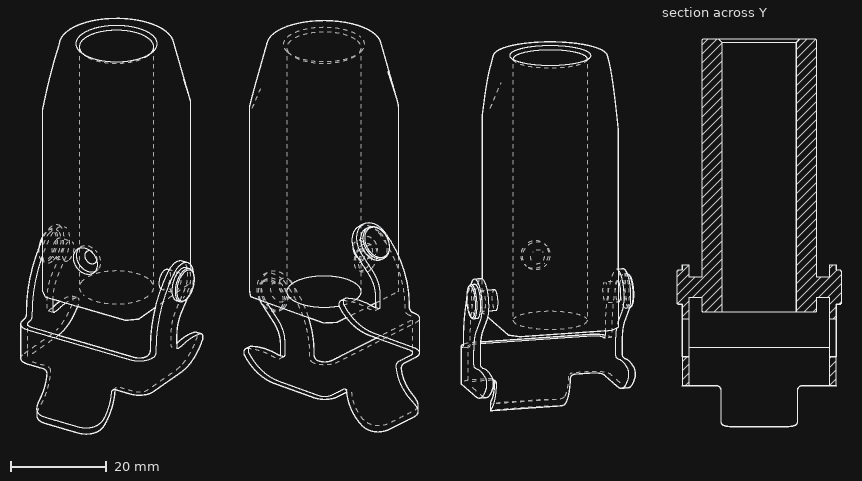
import cadquery as cq
import math

body_width = 24.0
body_height = 57.0
corner_chamfer = 2.0
edge_round = 0.25
bore_diameter = 15.5
bore_mouth_diameter = 16.9
bore_mouth_depth = 0.7
cone_angle = 14.3
cone_top_inset = 0.1
cone_top_radius = body_width / 2 - cone_top_inset

screw_diameter = 6.0
screw_floor_diameter = 3.0
screw_bore_depth = 1.2
screw_seat_depth = 0.9
screw_z = 11.25

overall_width = 34.3
pivot_z = 5.2
pin_diameter = 4.4
pin_embed = 0.8
head_diameter = 7.2
head_chamfer = 0.25

sheet = 1.45
lever_width = 32.2
lever_front_y = -14.3
bend_radius = 3.4
strap_top_z = -7.4
strap_bottom_z = -15.4
eye_radius = 4.7
neck_front_y = -9.7
neck_front_end_z = -5.6
neck_back_y = -1.7
neck_back_radius = 6.5
neck_foot_radius = 1.0

hook_notch_z = -9.3
hook_crest_y = 2.6
hook_crest_z = -9.0
hook_tip_y = 8.3
hook_tip_top_z = -9.8
hook_tip_radius = 1.1
hook_chin_radius = 0.4
hook_belly_radius = 10.2
notch_radius = 0.5

tab_width = 16.0
tab_tip_y = -21.1
tab_bottom_z = -24.0
tab_flare = 0.9
tab_corner_radius = 4.05

tab_height = strap_bottom_z - tab_bottom_z
tab_reach = lever_front_y + sheet - tab_tip_y
tab_outer_radius = (tab_height**2 + tab_reach**2) / (2 * tab_reach)


def make_body():
    block = (
        cq.Workplane("XY")
        .rect(body_width, body_width)
        .extrude(body_height)
        .edges("|Z")
        .chamfer(corner_chamfer)
    )

    envelope_radius = body_width
    cone_drop = (envelope_radius - cone_top_radius) / math.tan(math.radians(cone_angle))
    envelope = (
        cq.Workplane("XZ")
        .lineTo(envelope_radius, 0)
        .lineTo(envelope_radius, body_height - cone_drop)
        .lineTo(cone_top_radius, body_height)
        .lineTo(0, body_height)
        .close()
        .revolve(360, (0, 0, 0), (0, 1, 0))
    )

    shell = block.intersect(envelope).edges().fillet(edge_round)

    bore = cq.Workplane("XY").circle(bore_diameter / 2).extrude(body_height)
    mouth = cq.Solid.makeCone(
        bore_diameter / 2,
        bore_mouth_diameter / 2,
        bore_mouth_depth,
        pnt=cq.Vector(0, 0, body_height - bore_mouth_depth),
    )

    screw_axis = cq.Vector(0, 1, 0)
    screw_bore = cq.Solid.makeCylinder(
        screw_diameter / 2,
        screw_bore_depth,
        pnt=cq.Vector(0, -body_width / 2, screw_z),
        dir=screw_axis,
    )
    screw_seat = cq.Solid.makeCone(
        screw_diameter / 2,
        screw_floor_diameter / 2,
        screw_seat_depth,
        pnt=cq.Vector(0, -body_width / 2 + screw_bore_depth, screw_z),
        dir=screw_axis,
    )
    return shell.cut(bore).cut(mouth).cut(screw_bore).cut(screw_seat)


def make_pin():
    """Pivot pin with its head, on the +X side."""
    pin_start = body_width / 2 - pin_embed
    lever_face = lever_width / 2
    shank = (
        cq.Workplane("YZ", origin=(pin_start, 0, pivot_z))
        .circle(pin_diameter / 2)
        .extrude(lever_face - pin_start)
    )
    head = (
        cq.Workplane("YZ", origin=(lever_face, 0, pivot_z))
        .circle(head_diameter / 2)
        .extrude(overall_width / 2 - lever_face)
        .faces(">X")
        .chamfer(head_chamfer)
    )
    return shank.union(head)


def make_arm_outline():
    """Side shape of the lever, extruded across its full width."""
    diagonal = eye_radius / math.sqrt(2)

    eye_to_edge = -neck_front_y - eye_radius
    front_drop = pivot_z - neck_front_end_z
    neck_front_radius = eye_radius + (front_drop**2 + eye_to_edge**2) / (2 * eye_to_edge)
    front_center_y = neck_front_y + neck_front_radius
    front_angle = math.atan2(front_drop, front_center_y)
    front_start = (
        -eye_radius * math.cos(front_angle),
        pivot_z + eye_radius * math.sin(front_angle),
    )
    front_mid = (
        front_center_y - neck_front_radius * math.cos(front_angle / 2),
        neck_front_end_z + neck_front_radius * math.sin(front_angle / 2),
    )

    back_corner_z = pivot_z - 2 * diagonal + neck_back_y
    back_tangent = neck_back_radius * math.tan(math.pi / 8)
    back_step = back_tangent / math.sqrt(2)
    back_center_y = neck_back_y + neck_back_radius
    back_center_z = back_corner_z - back_tangent
    back_mid = (
        back_center_y - neck_back_radius * math.cos(math.pi / 8),
        back_center_z + neck_back_radius * math.sin(math.pi / 8),
    )

    belly_center_z = strap_bottom_z + hook_belly_radius
    belly_end_z = belly_center_z - math.sqrt(hook_belly_radius**2 - hook_tip_y**2)
    belly_mid_angle = math.asin(hook_tip_y / hook_belly_radius) / 2
    belly_mid = (
        hook_belly_radius * math.sin(belly_mid_angle),
        belly_center_z - hook_belly_radius * math.cos(belly_mid_angle),
    )

    arm = (
        cq.Workplane("YZ")
        .moveTo(*front_start)
        .threePointArc(front_mid, (neck_front_y, neck_front_end_z))
        .lineTo(neck_front_y, strap_top_z)
        .lineTo(lever_front_y, strap_top_z)
        .lineTo(lever_front_y, strap_bottom_z)
        .lineTo(0, strap_bottom_z)
        .threePointArc(belly_mid, (hook_tip_y, belly_end_z))
        .lineTo(hook_tip_y, hook_tip_top_z)
        .threePointArc((hook_crest_y, hook_crest_z), (0, hook_notch_z))
        .lineTo(neck_back_y, hook_notch_z)
        .lineTo(neck_back_y, back_center_z)
        .threePointArc(back_mid, (neck_back_y + back_step, back_corner_z + back_step))
        .lineTo(diagonal, pivot_z - diagonal)
        .threePointArc((0, pivot_z + eye_radius), front_start)
        .close()
        .extrude(lever_width / 2, both=True)
    )

    def round_edge(solid, y, z, radius):
        return solid.edges(cq.NearestToPointSelector((0, y, z))).fillet(radius)

    arm = round_edge(arm, neck_front_y, strap_top_z, neck_foot_radius)
    arm = round_edge(arm, neck_back_y, hook_notch_z, notch_radius)
    arm = round_edge(arm, hook_tip_y, hook_tip_top_z, hook_tip_radius)
    return round_edge(arm, hook_tip_y, belly_end_z, hook_chin_radius)


def make_channel():
    """U-shaped sheet, open toward +Y, from which the lever is cut."""
    length = hook_tip_y - lever_front_y
    height = pivot_z + eye_radius - strap_bottom_z
    outer = (
        cq.Workplane("XY", origin=(0, lever_front_y + length, strap_bottom_z))
        .rect(lever_width, 2 * length)
        .extrude(height)
        .edges("|Z and <Y")
        .fillet(bend_radius)
    )
    inner = (
        cq.Workplane("XY", origin=(0, lever_front_y + sheet + length, strap_bottom_z))
        .rect(lever_width - 2 * sheet, 2 * length)
        .extrude(height)
        .edges("|Z and <Y")
        .fillet(bend_radius - sheet)
    )
    return outer.cut(inner)


def make_tab():
    """Thumb tab: a quarter bend with rounded tip corners and a flared root."""
    back_y = lever_front_y + sheet
    bend_center = (back_y - tab_outer_radius, strap_bottom_z)
    bend = (
        cq.Workplane("YZ", origin=(-tab_width, 0, 0))
        .center(*bend_center)
        .circle(tab_outer_radius)
        .circle(tab_outer_radius - sheet)
        .extrude(2 * tab_width)
    )
    blank = (
        cq.Workplane("XY", origin=(0, (tab_tip_y + back_y) / 2, tab_bottom_z))
        .rect(tab_width, back_y - tab_tip_y)
        .extrude(tab_height)
        .edges("|Z and <Y")
        .fillet(tab_corner_radius)
    )
    half = tab_width / 2
    flare_z = strap_bottom_z - tab_flare
    flare = (
        cq.Workplane("XZ", origin=(0, back_y, 0))
        .moveTo(-half - tab_flare, strap_bottom_z)
        .radiusArc((-half, flare_z), tab_flare)
        .lineTo(half, flare_z)
        .radiusArc((half + tab_flare, strap_bottom_z), tab_flare)
        .close()
        .extrude(2 * sheet)
    )
    return bend.intersect(blank.union(flare))


lever = make_channel().intersect(make_arm_outline()).union(make_tab())
pin = make_pin()
result = make_body().union(lever).union(pin).union(pin.mirror("YZ")).solids()